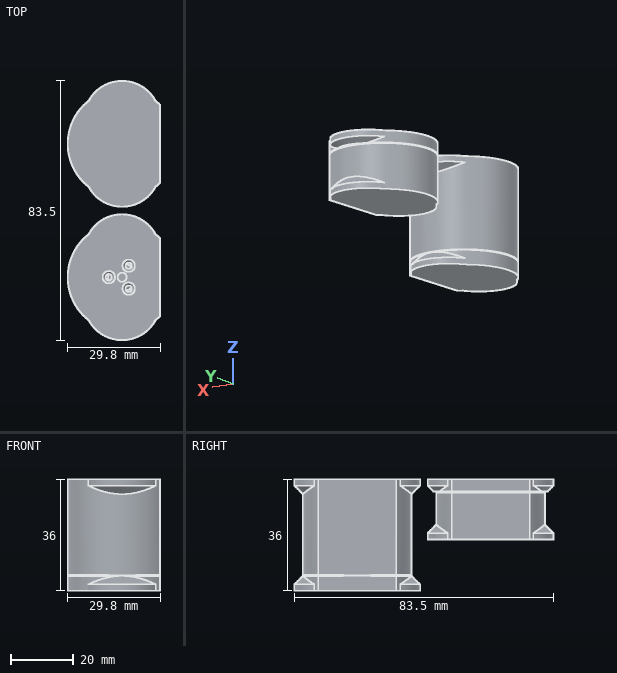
import cadquery as cq
import math

total_length = 83.5
total_width = 29.8
trunk_radius = 17.5
lobe_radius = 12.3
unit_spacing = 42.9
lobe_tip = (total_length - unit_spacing) / 2
lobe_offset = lobe_tip - lobe_radius

tall_height = 36.0
short_height = 19.5
flange_thickness = 2.1
lobe_taper_angle = 45.0
joint_gap = 0.25
base_lid_height = 4.85
top_lid_height = 4.0

roof_thickness = 3.0
bore_diameter = 11.0
shaft_hole_diameter = 2.9
screw_hole_diameter = 2.0
countersink_diameter = 4.0
countersink_angle = 90.0
screw_count = 3
screw_circle_radius = 4.3
boss_diameter = 9.0
boss_height = 3.0
boss_fillet = 1.0


def lobe(side, height, outer_face_up):
    """One lobe on the +Y or -Y side, tapering at 45 degrees behind its flange rim."""
    taper_height = trunk_radius - lobe_offset
    solid = (
        cq.Workplane("XY")
        .circle(lobe_radius)
        .extrude(flange_thickness)
        .faces(">Z")
        .workplane()
        .circle(lobe_radius)
        .extrude(taper_height, taper=lobe_taper_angle)
    )
    if outer_face_up:
        solid = solid.mirror("XY").translate((0, 0, height))
    return solid.translate((0, side * lobe_offset, 0))


def block(height, outer_face_up):
    """Trunk of the given height with two lobes at its outer face, standing on Z = 0."""
    solid = cq.Workplane("XY").circle(trunk_radius).extrude(height)
    for side in (-1, 1):
        solid = solid.union(lobe(side, height, outer_face_up))
    envelope = (
        cq.Workplane("XY")
        .box(total_width, total_length, height, centered=(False, True, False))
        .translate((-trunk_radius, 0, 0))
    )
    return solid.intersect(envelope)


def screw_points():
    """Screw centres, evenly spaced around the trunk axis, the first one on -X."""
    angles = [math.pi + i * 2 * math.pi / screw_count for i in range(screw_count)]
    return [(screw_circle_radius * math.cos(a), screw_circle_radius * math.sin(a)) for a in angles]


def tall_housing():
    """Upper body of the tall unit: bored from below, with screw and shaft holes in its roof."""
    height = tall_height - base_lid_height - joint_gap
    solid = block(height, outer_face_up=True)
    bore = cq.Workplane("XY").circle(bore_diameter / 2).extrude(height - roof_thickness)
    solid = solid.cut(bore)
    solid = solid.faces(">Z").workplane(origin=(0, 0, height)).hole(shaft_hole_diameter, roof_thickness)
    solid = (
        solid.faces(">Z")
        .workplane(origin=(0, 0, height))
        .pushPoints(screw_points())
        .cskHole(screw_hole_diameter, countersink_diameter, countersink_angle, roof_thickness)
    )
    return solid.translate((0, 0, base_lid_height + joint_gap))


def base_lid():
    """Bottom lid of the tall unit, with a rounded boss that stands in the housing bore."""
    boss = (
        cq.Workplane("XY")
        .workplane(offset=base_lid_height)
        .circle(boss_diameter / 2)
        .extrude(boss_height)
        .faces(">Z")
        .edges()
        .fillet(boss_fillet)
    )
    return block(base_lid_height, outer_face_up=False).union(boss)


def short_housing():
    """Lower body of the short unit, whose top is level with the tall unit."""
    height = short_height - top_lid_height - joint_gap
    solid = block(height, outer_face_up=False)
    return solid.translate((0, unit_spacing, tall_height - short_height))


def top_lid():
    """Top lid of the short unit; its lobe tapers stop at the joint."""
    solid = block(top_lid_height, outer_face_up=True)
    return solid.translate((0, unit_spacing, tall_height - top_lid_height))


result = cq.Compound.makeCompound(
    [tall_housing().val(), base_lid().val(), short_housing().val(), top_lid().val()]
)